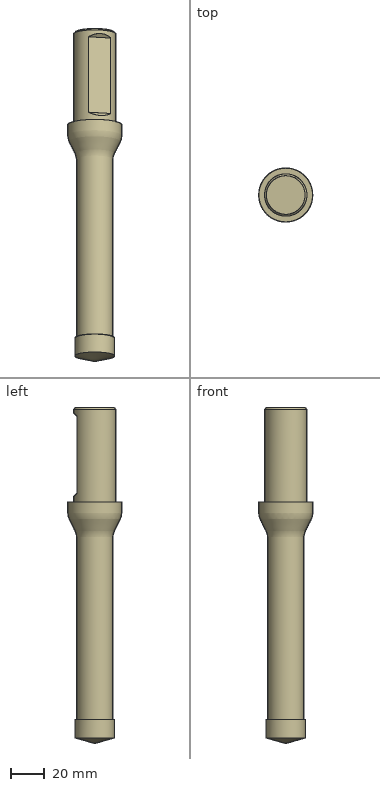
import cadquery as cq

TOTAL_LENGTH = 199.0

HEAD_DIAMETER = 23.5
HEAD_TOP = 14.3
POINT_HEIGHT = 3.4

STEM_DIAMETER = 21.5
FLANGE_DIAMETER = 32.0
FLANGE_TOP = 143.0
FLANGE_RIM_HEIGHT = 8.5
NECK_HEIGHT = 10.5
NECK_FILLET = 8.0

SHANK_DIAMETER = 25.0
SHANK_END_DIAMETER = 22.9

FLAT_DEPTH = 2.0
FLAT_BOTTOM = 148.3
FLAT_TOP = 193.8

SELECT_MARGIN = 0.2

neck_top = FLANGE_TOP - FLANGE_RIM_HEIGHT
neck_bottom = neck_top - NECK_HEIGHT
shank_radius = SHANK_DIAMETER / 2


def revolve_outline(points):
    """Solid of revolution about Z from (radius, height) points."""
    return cq.Workplane("XZ").polyline(points).close().revolve(360, (0, 0), (0, 1))


def circles_between(low, high):
    """Selector for the circular edges whose centres lie between two heights."""
    return cq.selectors.BoxSelector(
        (-SELECT_MARGIN, -SELECT_MARGIN, low - SELECT_MARGIN),
        (SELECT_MARGIN, SELECT_MARGIN, high + SELECT_MARGIN),
    )


def make_head():
    """Cylindrical cutting head with a shallow conical point."""
    radius = HEAD_DIAMETER / 2
    outline = [(0, 0), (radius, POINT_HEIGHT), (radius, HEAD_TOP), (0, HEAD_TOP)]
    return revolve_outline(outline)


def make_stem_and_flange():
    """Stem that widens through a smoothly blended cone into the flange."""
    stem_radius = STEM_DIAMETER / 2
    flange_radius = FLANGE_DIAMETER / 2
    outline = [
        (0, HEAD_TOP),
        (stem_radius, HEAD_TOP),
        (stem_radius, neck_bottom),
        (flange_radius, neck_top),
        (flange_radius, FLANGE_TOP),
        (0, FLANGE_TOP),
    ]
    body = revolve_outline(outline)
    return body.edges("%CIRCLE").edges(circles_between(neck_bottom, neck_top)).fillet(NECK_FILLET)


def make_shank():
    """Clamping shank with a 45 degree chamfer at its end."""
    chamfer_bottom = TOTAL_LENGTH - (SHANK_DIAMETER - SHANK_END_DIAMETER) / 2
    outline = [
        (0, FLANGE_TOP),
        (shank_radius, FLANGE_TOP),
        (shank_radius, chamfer_bottom),
        (SHANK_END_DIAMETER / 2, TOTAL_LENGTH),
        (0, TOTAL_LENGTH),
    ]
    return revolve_outline(outline)


def make_flat_cutter():
    """Prism that cuts the clamping flat and its sloped ends."""
    flat_y = shank_radius - FLAT_DEPTH
    outline = [
        (flat_y, FLAT_BOTTOM),
        (shank_radius, FLAT_BOTTOM - FLAT_DEPTH),
        (shank_radius, FLAT_TOP + FLAT_DEPTH),
        (flat_y, FLAT_TOP),
    ]
    return cq.Workplane("YZ").polyline(outline).close().extrude(shank_radius, both=True)


head = make_head()
holder = make_stem_and_flange().union(make_shank()).cut(make_flat_cutter())

result = cq.Compound.makeCompound([head.val(), holder.val()])